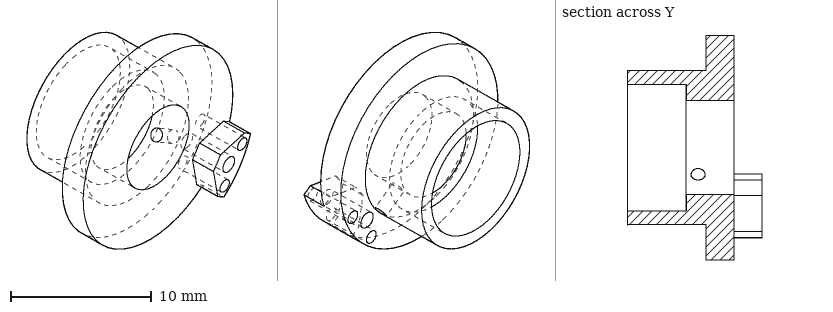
import cadquery as cq
import math

flange_radius = 8.0
flange_thickness = 2.0
tube_radius = 5.5
tube_length = 5.6
socket_radius = 4.5
socket_depth = 4.2
bore_radius = 3.33
flange_face = tube_length + flange_thickness

lug_angle = -35.0
lug_height = 2.0
lug_half_width = 2.5
lug_tip_half_width = 0.65
lug_tip_distance = 4.96
lug_taper = lug_half_width - lug_tip_half_width
lug_shoulder_distance = lug_tip_distance + lug_taper
lug_corner_distance = math.sqrt(flange_radius**2 - lug_half_width**2)
total_length = flange_face + lug_height

center_hole_distance = 6.5
center_hole_diameter = 1.25
side_hole_distance = 7.3
side_hole_diameter = 1.0
side_hole_spread = 13.0

radial_hole_angle = lug_angle
radial_hole_x = 5.04
radial_hole_diameter = 1.0


def cylinder(radius, start, length):
    """Cylinder on the X axis."""
    return cq.Workplane("YZ", origin=(start, 0, 0)).circle(radius).extrude(length)


def turn_about_x(shape, angle):
    """Rotate from the +Y axis towards +Z."""
    return shape.rotate((0, 0, 0), (1, 0, 0), angle)


def make_lug():
    """Pointed block whose outer side follows the flange rim."""
    lug = (
        cq.Workplane("YZ", origin=(flange_face, 0, 0))
        .moveTo(lug_tip_distance, -lug_tip_half_width)
        .lineTo(lug_shoulder_distance, -lug_half_width)
        .lineTo(lug_corner_distance, -lug_half_width)
        .threePointArc((flange_radius, 0), (lug_corner_distance, lug_half_width))
        .lineTo(lug_shoulder_distance, lug_half_width)
        .lineTo(lug_tip_distance, lug_tip_half_width)
        .close()
        .extrude(lug_height)
    )
    return turn_about_x(lug, lug_angle)


def axial_hole(distance, angle, diameter):
    """Cutter parallel to X, at a distance and angle from the axis."""
    hole = cylinder(diameter / 2, 0, total_length).translate((0, distance, 0))
    return turn_about_x(hole, angle)


def radial_hole():
    """Cutter running outwards from the axis through one side of the tube."""
    hole = (
        cq.Workplane("XZ", origin=(radial_hole_x, 0, 0))
        .circle(radial_hole_diameter / 2)
        .extrude(-flange_radius)
    )
    return turn_about_x(hole, radial_hole_angle)


result = cylinder(tube_radius, 0, tube_length)
result = result.union(cylinder(flange_radius, tube_length, flange_thickness))
result = result.union(make_lug())

result = result.cut(cylinder(socket_radius, 0, socket_depth))
result = result.cut(cylinder(bore_radius, 0, total_length))

result = result.cut(axial_hole(center_hole_distance, lug_angle, center_hole_diameter))
for side in (-1, 1):
    side_hole_angle = lug_angle + side * side_hole_spread
    result = result.cut(axial_hole(side_hole_distance, side_hole_angle, side_hole_diameter))
result = result.cut(radial_hole())